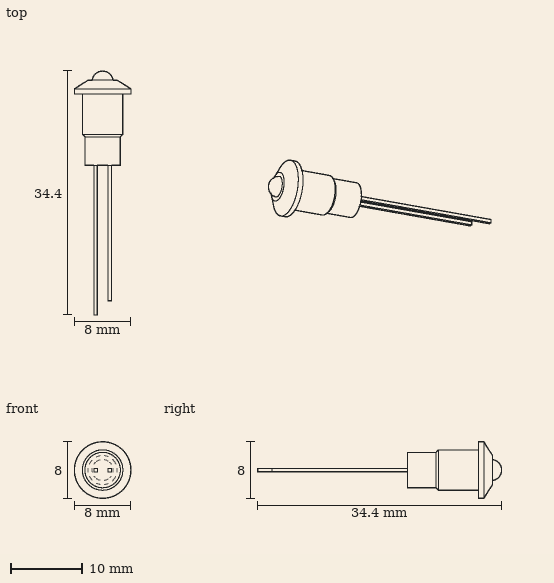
import cadquery as cq

rear_radius = 2.5
rear_length = 4.0
barrel_radius = 2.85
shoulder_length = barrel_radius - rear_radius
flange_radius = 4.0
flange_back = 10.0
flange_thickness = 0.75
bezel_front = 12.0
bezel_front_radius = 2.05

lens_radius = 1.5
lens_tip = 13.28
lens_centre = lens_tip - lens_radius

lead_width = 0.5
lead_pitch = 2.0
long_lead_length = 21.1
short_lead_length = 19.1


def make_lamp_body():
    """Stepped barrel, flange with conical bezel, and the domed lens in one solid."""
    shoulder_end = rear_length + shoulder_length
    flange_front = flange_back + flange_thickness
    turned = (
        cq.Workplane("XY")
        .moveTo(0, 0)
        .lineTo(rear_radius, 0)
        .lineTo(rear_radius, rear_length)
        .lineTo(barrel_radius, shoulder_end)
        .lineTo(barrel_radius, flange_back)
        .lineTo(flange_radius, flange_back)
        .lineTo(flange_radius, flange_front)
        .lineTo(bezel_front_radius, bezel_front)
        .lineTo(0, bezel_front)
        .close()
        .revolve(360, (0, 0, 0), (0, 1, 0))
    )
    lens = cq.Workplane("XY").sphere(lens_radius).translate((0, lens_centre, 0))
    return turned.union(lens)


def make_lead(x_centre, length):
    """Straight square lead running back from the rear face."""
    return (
        cq.Workplane("XY")
        .box(lead_width, length, lead_width)
        .translate((x_centre, -length / 2, 0))
    )


lamp_body = make_lamp_body()

lead_layout = [
    (-lead_pitch / 2, long_lead_length),
    (lead_pitch / 2, short_lead_length),
]
leads = [make_lead(x_centre, length) for x_centre, length in lead_layout]

result = cq.Compound.makeCompound([lamp_body.val(), *[lead.val() for lead in leads]])